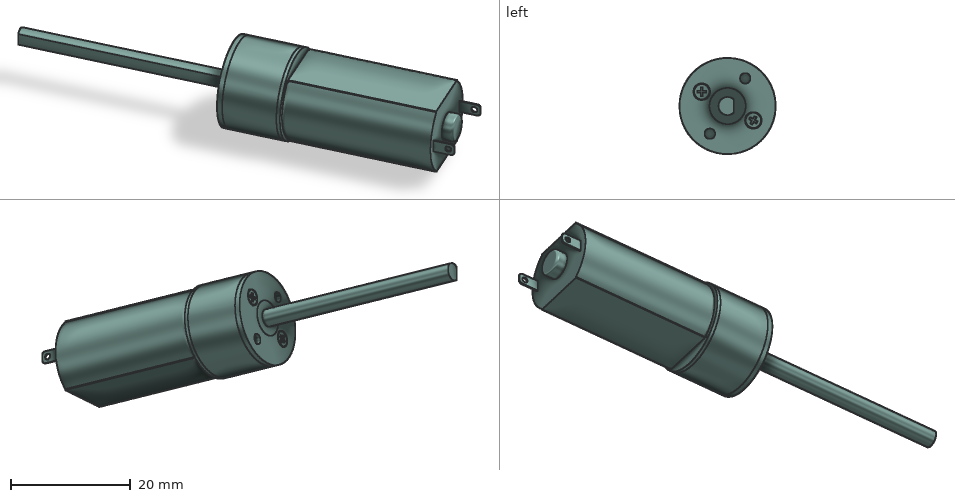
import cadquery as cq
import math

total_length = 79.7
cover_front = 38.0
ring_front = 38.95
flange_front = 48.6
can_front = 49.2
can_rear = 75.9
boss_rear = 77.9

gearbox_radius = 8.05
hole_radius = 0.9
hole_depth = 2.0
hole_positions = [(-2.95, 4.6), (2.95, -4.6)]

screw_radius = 1.3
screw_gap = 0.12
screw_gap_depth = 0.4
recess_length = 1.4
recess_width = 0.4
recess_depth = 0.4
screws = [(4.3, 2.4, 0.0), (-4.3, -2.4, 30.0)]

shaft_radius = 1.5
shaft_flat_offset = 1.075
collar_radius = 3.0

can_radius = 7.7
can_half_height = 6.1
can_flat_half_width = 4.9
can_front_fillet = 0.8
boss_radius = 2.4
boss_fillet = 0.5

tab_offset = 6.2
tab_width = 2.15
tab_thickness = 0.2
tab_corner_radius = 0.6
tab_hole_radius = 0.52
tab_hole_to_end = 1.1


def section_at(x, y=0.0, z=0.0):
    """Sketch plane across the axis: its local x is Y, its local y is Z, and it extrudes toward +X."""
    return cq.Workplane("YZ", origin=(x, y, z))


def disc(x_start, x_end, radius, y=0.0, z=0.0):
    return section_at(x_start, y, z).circle(radius).extrude(x_end - x_start)


def mounting_hole(y, z):
    return disc(cover_front, cover_front + hole_depth, hole_radius, y, z)


def screw_head_cut(y, z, turn):
    """Ring-shaped gap around a screw head, with the cross recess in the head."""
    gap = (
        section_at(cover_front, y, z)
        .circle(screw_radius + screw_gap)
        .circle(screw_radius)
        .extrude(screw_gap_depth)
    )
    cross = section_at(cover_front, y, z).rect(recess_length, recess_width).extrude(recess_depth)
    cross = cross.union(cross.rotate((0, y, z), (1, y, z), 90))
    return gap.union(cross.rotate((0, y, z), (1, y, z), turn))


def make_cover():
    """Front plate of the gearbox, with a bore for the shaft collar."""
    cover = disc(cover_front, ring_front, gearbox_radius)
    cover = cover.cut(disc(cover_front, ring_front, collar_radius))
    for y, z in hole_positions:
        cover = cover.cut(mounting_hole(y, z))
    for y, z, turn in screws:
        cover = cover.cut(screw_head_cut(y, z, turn))
    return cover


def make_gear_ring():
    """Middle part of the gearbox; the mounting holes run on into it."""
    ring = disc(ring_front, flange_front, gearbox_radius)
    for y, z in hole_positions:
        ring = ring.cut(mounting_hole(y, z))
    return ring


def make_shaft():
    """D-shaped shaft, flat on the -Y side, on a collar that fills the bore of the cover."""
    flat_half_height = math.sqrt(shaft_radius**2 - shaft_flat_offset**2)
    shaft = (
        section_at(0)
        .moveTo(-shaft_flat_offset, -flat_half_height)
        .threePointArc((shaft_radius, 0), (-shaft_flat_offset, flat_half_height))
        .close()
        .extrude(cover_front)
    )
    return shaft.union(disc(cover_front, ring_front, collar_radius))


def make_can():
    """Round can with a flat slab through its middle that stands a little above and below the round
    sides; the front end is rounded."""
    length = can_rear - can_front
    sides = disc(can_front, can_rear, can_radius).faces("<X").edges().fillet(can_front_fillet)
    slab = section_at(can_front).rect(2 * can_flat_half_width, 2 * can_half_height).extrude(length)
    middle = section_at(can_front).rect(2 * can_flat_half_width, 2 * can_radius).extrude(length)
    return sides.cut(middle).union(slab.faces("<X").edges("|Y").fillet(can_front_fillet))


def make_tab(y):
    length = total_length - can_rear
    tab = (
        cq.Workplane("XY", origin=(can_rear + length / 2, y, 0))
        .box(length, tab_thickness, tab_width)
        .faces(">X")
        .edges("|Y")
        .fillet(tab_corner_radius)
    )
    hole = (
        cq.Workplane("XZ", origin=(total_length - tab_hole_to_end, y, 0))
        .circle(tab_hole_radius)
        .extrude(tab_thickness, both=True)
    )
    return tab.cut(hole)


def make_motor():
    """Motor can with its mounting flange, rear bearing boss and two solder tabs."""
    boss = disc(can_rear, boss_rear, boss_radius).faces(">X").edges().fillet(boss_fillet)
    motor = disc(flange_front, can_front, gearbox_radius).union(make_can()).union(boss)
    for y in (-tab_offset, tab_offset):
        motor = motor.union(make_tab(y))
    return motor


cover = make_cover()
gear_ring = make_gear_ring()
shaft = make_shaft()
motor = make_motor()

result = cq.Compound.makeCompound([cover.val(), gear_ring.val(), shaft.val(), motor.val()])